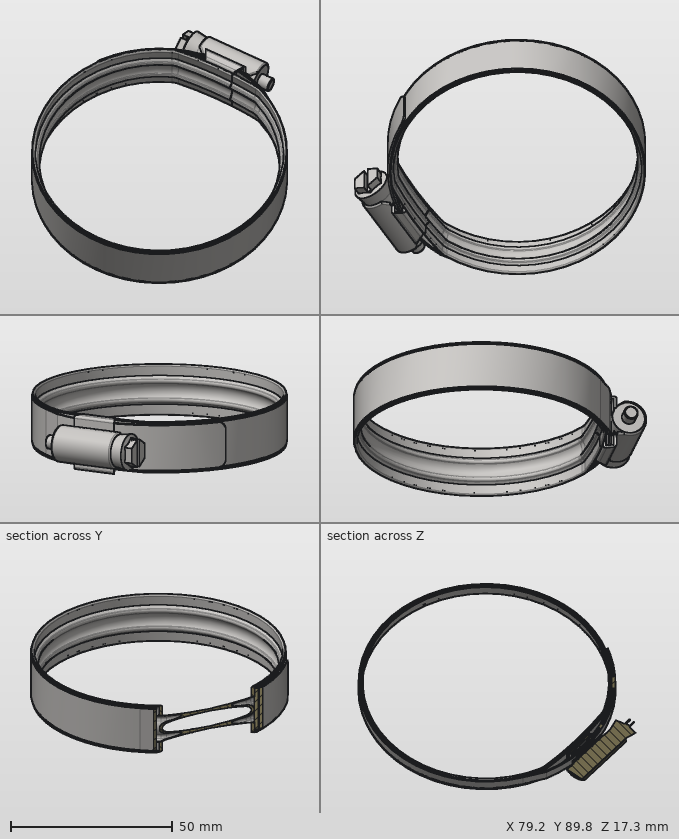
import cadquery as cq
import math


BAND_RADIUS = 39.6
BAND_THICKNESS = 0.6
BAND_WIDTH = 14.4
LAP_CLEARANCE = 0.1
BAND_START_ANGLE = 83.0
TAIL_START_ANGLE = 67.5
TAIL_END_ANGLE = 150.0
TAIL_CORNER_RADIUS = 2.5
BAND_INNER_RADIUS = BAND_RADIUS - BAND_THICKNESS
TAIL_INNER_RADIUS = BAND_RADIUS + LAP_CLEARANCE
TAIL_RADIUS = TAIL_INNER_RADIUS + BAND_THICKNESS

LINER_RADIUS = BAND_INNER_RADIUS
LINER_THICKNESS = 0.45
LINER_WIDTH = 16.2
LIP_PROJECTION = 0.4
BEAD_HEIGHT = 1.3
BEAD_CREST_RISE = 0.3
BEAD_FOOT_Z = 4.6
BEAD_OUTER_Z = 3.7
BEAD_INNER_Z = 2.3
BEND_RADIUS = 7.2
BEND_OUTER_SLOPE = 24.0
BEND_INNER_SLOPE = 6.8
SEAM_X = 5.0
SEAM_GAP = 0.1

AXIS_Y = 44.45
WORM_RADIUS = 5.1
COLLAR_RADIUS = 5.75
COLLAR_X = -14.5
COLLAR_FRONT_RADIUS = 4.0
COLLAR_FRONT_X = -15.2
HEAD_END_X = -17.4
HEX_ACROSS_FLATS = 8.2
SLOT_WIDTH = 1.35
SLOT_DEPTH = 1.9
TIP_RADIUS = 2.2
TIP_END_X = 14.5
TIP_CHAMFER = 0.3

COVER_SHEET = 0.6
COVER_LENGTH = 20.9
COVER_RADIUS = WORM_RADIUS + COVER_SHEET
COVER_END_BOTTOM_Y = 43.1
COVER_BOTTOM_HALF_LENGTH = 8.35
COVER_EDGE_RADIUS = 0.5
LOOP_TOP_Y = 41.4
LOOP_BOTTOM_Y = 37.5
LOOP_WIDTH = 17.3
LOOP_SHEET = 0.8
LOOP_CORNER_RADIUS = 0.9
LOOP_TOP_HALF_LENGTH = 7.1
LOOP_BOTTOM_HALF_LENGTH = 5.1


def polar(radius, angle):
    """Point of the XY plane at an angle in degrees from +X."""
    turn = math.radians(angle)
    return (radius * math.cos(turn), radius * math.sin(turn))


def worm_cylinder(radius, length):
    """Cylinder on the screw axis, centred under the cover."""
    return cq.Workplane("YZ", origin=(-length / 2, AXIS_Y, 0)).circle(radius).extrude(length)


def make_band():
    ring_end = TAIL_START_ANGLE - math.degrees(math.acos(BAND_RADIUS / TAIL_RADIUS))
    ring_middle = (BAND_START_ANGLE + ring_end + 360) / 2
    tail_middle = (TAIL_START_ANGLE + TAIL_END_ANGLE) / 2
    strip = (
        cq.Workplane("XY", origin=(0, 0, -BAND_WIDTH / 2))
        .moveTo(*polar(BAND_RADIUS, BAND_START_ANGLE))
        .threePointArc(polar(BAND_RADIUS, ring_middle), polar(BAND_RADIUS, ring_end))
        .lineTo(*polar(TAIL_RADIUS, TAIL_START_ANGLE))
        .threePointArc(polar(TAIL_RADIUS, tail_middle), polar(TAIL_RADIUS, TAIL_END_ANGLE))
        .lineTo(*polar(TAIL_INNER_RADIUS, TAIL_END_ANGLE))
        .threePointArc(
            polar(TAIL_INNER_RADIUS, tail_middle), polar(TAIL_INNER_RADIUS, TAIL_START_ANGLE)
        )
        .lineTo(*polar(BAND_INNER_RADIUS, ring_end))
        .threePointArc(
            polar(BAND_INNER_RADIUS, ring_middle), polar(BAND_INNER_RADIUS, BAND_START_ANGLE)
        )
        .close()
        .extrude(BAND_WIDTH)
    )
    tail_tip = polar((TAIL_RADIUS + TAIL_INNER_RADIUS) / 2, TAIL_END_ANGLE)
    for side in (-1, 1):
        corner = (*tail_tip, side * BAND_WIDTH / 2)
        strip = strip.edges(cq.selectors.NearestToPointSelector(corner)).fillet(TAIL_CORNER_RADIUS)
    return strip.cut(worm_cylinder(WORM_RADIUS, COVER_LENGTH))


def liner_stretch(center, radius, start_angle, sweep):
    """The liner section turned about a vertical axis through the centre."""
    inner = radius - LINER_THICKNESS
    crest = inner - BEAD_HEIGHT
    shoulder = crest + BEAD_CREST_RISE
    crest_back = crest + LINER_THICKNESS
    shoulder_back = shoulder + LINER_THICKNESS
    crest_z = (BEAD_OUTER_Z + BEAD_INNER_Z) / 2
    rim = LINER_WIDTH / 2
    lip_root = rim - LINER_THICKNESS
    lip_end = radius + LIP_PROJECTION
    bend_offset = LINER_THICKNESS * math.cos(math.radians(45))
    lip_bend = (radius - bend_offset, lip_root + bend_offset)
    stretch = (
        cq.Workplane("XZ")
        .moveTo(lip_end, rim)
        .lineTo(lip_end, lip_root)
        .lineTo(radius, lip_root)
        .lineTo(radius, BEAD_FOOT_Z)
        .lineTo(shoulder_back, BEAD_OUTER_Z)
        .threePointArc((crest_back, crest_z), (shoulder_back, BEAD_INNER_Z))
        .threePointArc((radius, 0), (shoulder_back, -BEAD_INNER_Z))
        .threePointArc((crest_back, -crest_z), (shoulder_back, -BEAD_OUTER_Z))
        .lineTo(radius, -BEAD_FOOT_Z)
        .lineTo(radius, -lip_root)
        .lineTo(lip_end, -lip_root)
        .lineTo(lip_end, -rim)
        .lineTo(radius, -rim)
        .threePointArc((lip_bend[0], -lip_bend[1]), (inner, -lip_root))
        .lineTo(inner, -BEAD_FOOT_Z)
        .lineTo(shoulder, -BEAD_OUTER_Z)
        .threePointArc((crest, -crest_z), (shoulder, -BEAD_INNER_Z))
        .threePointArc((inner, 0), (shoulder, BEAD_INNER_Z))
        .threePointArc((crest, crest_z), (shoulder, BEAD_OUTER_Z))
        .lineTo(inner, BEAD_FOOT_Z)
        .lineTo(inner, lip_root)
        .threePointArc(lip_bend, (radius, rim))
        .close()
        .revolve(sweep, (0, 0), (0, 1))
    )
    return stretch.rotate((0, 0, 0), (0, 0, 1), start_angle).translate((*center, 0))


def make_liner():
    bend_x, bend_y = polar(LINER_RADIUS - BEND_RADIUS, 90 - BEND_OUTER_SLOPE)
    crown_slope = math.radians(BEND_INNER_SLOPE)
    crown_center = (0, bend_y - bend_x / math.tan(crown_slope))
    crown_radius = BEND_RADIUS + bend_x / math.sin(crown_slope)
    bend_sweep = BEND_OUTER_SLOPE - BEND_INNER_SLOPE

    liner = liner_stretch((0, 0), LINER_RADIUS, 90 + BEND_OUTER_SLOPE, 360 - 2 * BEND_OUTER_SLOPE)
    crown = liner_stretch(crown_center, crown_radius, 90 - BEND_INNER_SLOPE, 2 * BEND_INNER_SLOPE)
    right_bend = liner_stretch((bend_x, bend_y), BEND_RADIUS, 90 - BEND_OUTER_SLOPE, bend_sweep)
    left_bend = liner_stretch((-bend_x, bend_y), BEND_RADIUS, 90 + BEND_INNER_SLOPE, bend_sweep)
    liner = liner.union(right_bend).union(left_bend).union(crown)

    crown_y = crown_center[1] + crown_radius
    seam = cq.Workplane("XY").box(SEAM_GAP, 4 * BEAD_HEIGHT, 2 * LINER_WIDTH)
    return liner.cut(seam.translate((SEAM_X, crown_y, 0)))


def make_housing():
    half_length = COVER_LENGTH / 2
    cover_outline = (
        cq.Workplane("XY", origin=(0, 0, -COVER_RADIUS))
        .moveTo(-half_length, AXIS_Y + COVER_RADIUS)
        .lineTo(-half_length, COVER_END_BOTTOM_Y)
        .lineTo(-COVER_BOTTOM_HALF_LENGTH, LOOP_TOP_Y)
        .lineTo(-LOOP_TOP_HALF_LENGTH, LOOP_TOP_Y)
        .lineTo(-LOOP_TOP_HALF_LENGTH, LOOP_TOP_Y - LOOP_SHEET)
        .lineTo(LOOP_TOP_HALF_LENGTH, LOOP_TOP_Y - LOOP_SHEET)
        .lineTo(LOOP_TOP_HALF_LENGTH, LOOP_TOP_Y)
        .lineTo(COVER_BOTTOM_HALF_LENGTH, LOOP_TOP_Y)
        .lineTo(half_length, COVER_END_BOTTOM_Y)
        .lineTo(half_length, AXIS_Y + COVER_RADIUS)
        .close()
        .extrude(2 * COVER_RADIUS)
    )
    cover = worm_cylinder(COVER_RADIUS, COVER_LENGTH).intersect(cover_outline)
    cover = cover.edges("%CIRCLE or %ELLIPSE").fillet(COVER_EDGE_RADIUS)

    loop_outline = (
        cq.Workplane("XY", origin=(0, 0, -LOOP_WIDTH / 2))
        .moveTo(-LOOP_TOP_HALF_LENGTH, LOOP_TOP_Y)
        .lineTo(-LOOP_BOTTOM_HALF_LENGTH, LOOP_BOTTOM_Y)
        .lineTo(LOOP_BOTTOM_HALF_LENGTH, LOOP_BOTTOM_Y)
        .lineTo(LOOP_TOP_HALF_LENGTH, LOOP_TOP_Y)
        .close()
        .extrude(LOOP_WIDTH)
    )
    loop_height = LOOP_TOP_Y - LOOP_BOTTOM_Y
    loop_frame = (
        cq.Workplane("XY")
        .box(COVER_LENGTH, loop_height, LOOP_WIDTH)
        .edges("|X")
        .fillet(LOOP_CORNER_RADIUS)
        .faces("<X or >X")
        .shell(-LOOP_SHEET)
        .translate((0, LOOP_BOTTOM_Y + loop_height / 2, 0))
    )
    loop = loop_frame.intersect(loop_outline)
    return cover.union(loop).cut(worm_cylinder(WORM_RADIUS, COVER_LENGTH))


def make_screw():
    worm_end = COVER_LENGTH / 2
    body = (
        cq.Workplane("XZ")
        .moveTo(COLLAR_FRONT_X, 0)
        .lineTo(COLLAR_FRONT_X, COLLAR_FRONT_RADIUS)
        .lineTo(COLLAR_X, COLLAR_RADIUS)
        .lineTo(-worm_end, WORM_RADIUS)
        .lineTo(worm_end, WORM_RADIUS)
        .lineTo(worm_end, TIP_RADIUS)
        .lineTo(TIP_END_X - TIP_CHAMFER, TIP_RADIUS)
        .lineTo(TIP_END_X, TIP_RADIUS - TIP_CHAMFER)
        .lineTo(TIP_END_X, 0)
        .close()
        .revolve(360, (0, 0), (1, 0))
    )
    hex_corner_diameter = HEX_ACROSS_FLATS / math.cos(math.radians(30))
    hex_head = (
        cq.Workplane("YZ", origin=(HEAD_END_X, 0, 0))
        .polygon(6, hex_corner_diameter)
        .extrude(COLLAR_X - HEAD_END_X)
        .rotate((0, 0, 0), (1, 0, 0), 90)
    )
    slot = cq.Workplane("XY").box(2 * SLOT_DEPTH, SLOT_WIDTH, 2 * hex_corner_diameter)
    screw = body.union(hex_head).cut(slot.translate((HEAD_END_X, 0, 0)))
    return screw.translate((0, AXIS_Y, 0))


band = make_band()
liner = make_liner()
housing = make_housing()
screw = make_screw()

result = cq.Compound.makeCompound([band.val(), liner.val(), housing.val(), screw.val()])